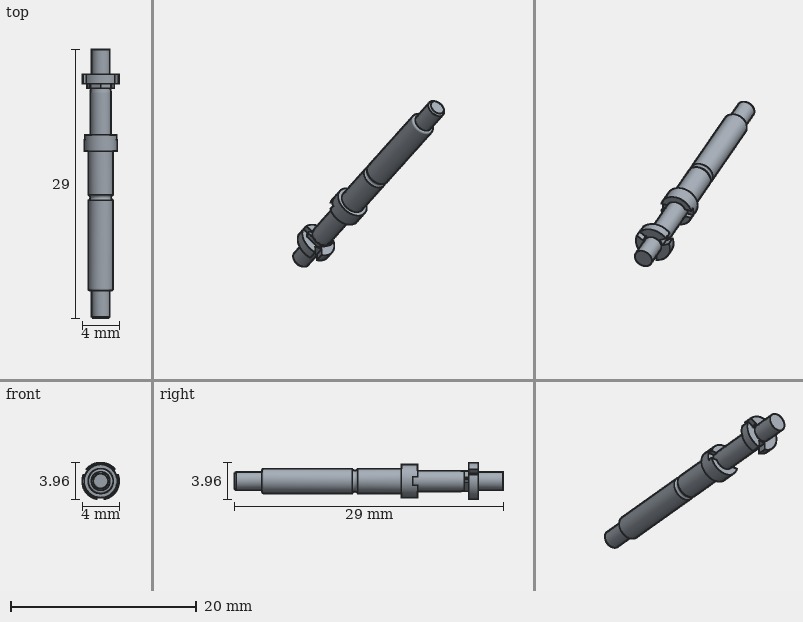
import cadquery as cq
import math

LENGTH = 29.0

SLEEVE_START = 3.0
GROOVE_CENTRE = 13.02
COLLAR_START = 18.05
COLLAR_END = 19.78
TAPER_START = 24.35
CAM_START = 24.8
FLANGE_START = 25.3
FLANGE_END = 26.33

PIN_DIAMETER = 2.0
SLEEVE_DIAMETER = 2.7
COLLAR_DIAMETER = 3.6
NECK_DIAMETER = 2.25
TAPER_END_DIAMETER = 2.15
FLANGE_DIAMETER = 4.0

TIP_CHAMFER = 0.2
SLEEVE_FILLET = 0.23
GROOVE_WIDTH = 0.6
GROOVE_DEPTH = 0.2

CAM_TIP_RADIUS = 1.48
CAM_HALF_HEIGHT = 1.1
CAM_TIP_HALF_HEIGHT = 0.13

COLLAR_NOTCH_WIDTH = 0.9
COLLAR_NOTCH_DEPTH = 0.52
BOTTOM_SLOT_WIDTH = 0.8
UPPER_SLOT_WIDTH = 0.7
UPPER_SLOT_ANGLES = (30, 150)
BOTTOM_SLOT_ANGLE = 270
SLOT_FLOOR_RADIUS = 1.13


def cylinder(diameter, y_start, y_end):
    """Solid cylinder on the Y axis between two stations."""
    plane = cq.Plane(origin=(0, y_start, 0), xDir=(1, 0, 0), normal=(0, 1, 0))
    return cq.Workplane(plane).circle(diameter / 2).extrude(y_end - y_start)


def block(x_start, x_end, y_start, y_end, height):
    """Box between X and Y limits, centred on Z = 0."""
    box = cq.Workplane("XY").box(x_end - x_start, y_end - y_start, height, centered=(False, False, True))
    return box.translate((x_start, y_start, 0))


def make_tip():
    """Front pin with a chamfered end, reaching into the sleeve as far as the collar."""
    return cylinder(PIN_DIAMETER, 0, COLLAR_START).faces("<Y").chamfer(TIP_CHAMFER)


def make_tail():
    """Plain pin behind the flange."""
    return cylinder(PIN_DIAMETER, FLANGE_END, LENGTH)


def make_sleeve():
    """Sleeve with a rounded front edge and a round-bottomed ring groove."""
    sleeve = cylinder(SLEEVE_DIAMETER, SLEEVE_START, COLLAR_START).faces("<Y").edges().fillet(SLEEVE_FILLET)
    half_width = GROOVE_WIDTH / 2
    groove_radius = (half_width**2 + GROOVE_DEPTH**2) / (2 * GROOVE_DEPTH)
    circle_centre = SLEEVE_DIAMETER / 2 - GROOVE_DEPTH + groove_radius
    groove = (
        cq.Workplane("XY")
        .center(circle_centre, GROOVE_CENTRE)
        .circle(groove_radius)
        .revolve(360, (-circle_centre, 0), (-circle_centre, 1))
    )
    return sleeve.cut(groove)


def make_collar():
    """Collar with a notch on each X side of its rear face."""
    notch = block(
        -COLLAR_DIAMETER / 2,
        COLLAR_DIAMETER / 2,
        COLLAR_END - COLLAR_NOTCH_DEPTH,
        COLLAR_END,
        COLLAR_NOTCH_WIDTH,
    )
    return cylinder(COLLAR_DIAMETER, COLLAR_START, COLLAR_END).cut(notch)


def make_neck():
    """Neck that narrows slightly just before the cam."""
    return (
        cq.Workplane("XY")
        .moveTo(0, COLLAR_START)
        .lineTo(NECK_DIAMETER / 2, COLLAR_START)
        .lineTo(NECK_DIAMETER / 2, TAPER_START)
        .lineTo(TAPER_END_DIAMETER / 2, CAM_START)
        .lineTo(0, CAM_START)
        .close()
        .revolve(360, (0, 0), (0, 1))
    )


def make_cam():
    """Rhombus with rounded side tips, joining the neck to the flange."""
    tip_x = math.sqrt(CAM_TIP_RADIUS**2 - CAM_TIP_HALF_HEIGHT**2)
    return (
        cq.Workplane("XZ", origin=(0, CAM_START, 0))
        .moveTo(0, CAM_HALF_HEIGHT)
        .lineTo(tip_x, CAM_TIP_HALF_HEIGHT)
        .threePointArc((CAM_TIP_RADIUS, 0), (tip_x, -CAM_TIP_HALF_HEIGHT))
        .lineTo(0, -CAM_HALF_HEIGHT)
        .lineTo(-tip_x, -CAM_TIP_HALF_HEIGHT)
        .threePointArc((-CAM_TIP_RADIUS, 0), (-tip_x, CAM_TIP_HALF_HEIGHT))
        .close()
        .extrude(CAM_START - FLANGE_START)
    )


def radial_slot(angle, width):
    """Cutter running outward from the slot floor, at an angle from +X towards +Z."""
    cutter = block(SLOT_FLOOR_RADIUS, FLANGE_DIAMETER, CAM_START, FLANGE_END, width)
    return cutter.rotate((0, 0, 0), (0, 1, 0), -angle)


def make_locking_head():
    """Three-lobed flange and cam, with the slots passing through both."""
    head = cylinder(FLANGE_DIAMETER, FLANGE_START, FLANGE_END).union(make_cam())
    for angle in UPPER_SLOT_ANGLES:
        head = head.cut(radial_slot(angle, UPPER_SLOT_WIDTH))
    return head.cut(radial_slot(BOTTOM_SLOT_ANGLE, BOTTOM_SLOT_WIDTH))


result = make_tip()
for section in (make_sleeve(), make_collar(), make_neck(), make_locking_head(), make_tail()):
    result = result.union(section)